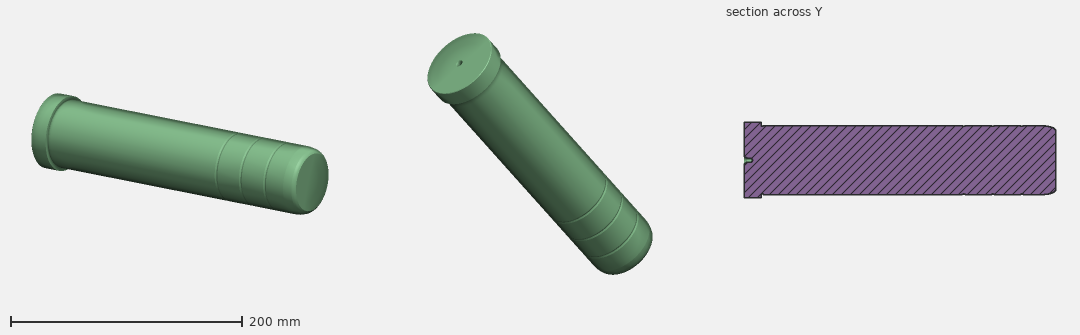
import cadquery as cq
import math

length = 270.0
head_diameter = 66.0
head_length = 15.0
head_chamfer = 0.5
body_diameter = 60.0

relief_width = 1.4
relief_depth = 0.5

groove_count = 3
first_groove_x = 190.0
groove_pitch = 25.0
groove_width = 3.0
groove_depth = 0.5

nose_length = 10.5
nose_drop = 1.5
tip_length = 3.0
tip_drop = 4.5

center_diameter = 6.5
pilot_diameter = 3.2
pilot_depth = 6.5
countersink_angle = 60.0
drill_tip_angle = 120.0

head_radius = head_diameter / 2
body_radius = body_diameter / 2


def nose_points():
    """Return the start, middle and end of the arc tangent to the body."""
    start_x = length - nose_length
    span = nose_length - tip_length
    arc_radius = (span**2 + nose_drop**2) / (2 * nose_drop)
    half_angle = math.atan2(nose_drop, span)
    middle = (
        start_x + arc_radius * math.sin(half_angle),
        body_radius - arc_radius * (1 - math.cos(half_angle)),
    )
    return (start_x, body_radius), middle, (start_x + span, body_radius - nose_drop)


def revolve_about_x(profile):
    return profile.close().revolve(360, (0, 0, 0), (1, 0, 0))


def make_pin():
    start, middle, end = nose_points()
    relief_radius = body_radius - relief_depth
    profile = (
        cq.Workplane("XY")
        .lineTo(0, head_radius - head_chamfer)
        .lineTo(head_chamfer, head_radius)
        .lineTo(head_length, head_radius)
        .lineTo(head_length, relief_radius)
        .lineTo(head_length + relief_width, relief_radius)
        .lineTo(head_length + relief_width, body_radius)
        .lineTo(*start)
        .threePointArc(middle, end)
        .tangentArcPoint((length, body_radius - tip_drop), relative=False)
        .lineTo(length, 0)
    )
    return revolve_about_x(profile)


def make_groove(center_x):
    """Return a V-shaped ring that cuts one groove."""
    rim_radius = head_radius
    half_width = groove_width / 2
    profile = (
        cq.Workplane("XY")
        .moveTo(center_x - half_width, rim_radius)
        .lineTo(center_x - half_width, body_radius)
        .lineTo(center_x, body_radius - groove_depth)
        .lineTo(center_x + half_width, body_radius)
        .lineTo(center_x + half_width, rim_radius)
    )
    return revolve_about_x(profile)


def make_center_hole():
    center_radius = center_diameter / 2
    pilot_radius = pilot_diameter / 2
    sink_depth = (center_radius - pilot_radius) / math.tan(math.radians(countersink_angle / 2))
    tip_depth = pilot_radius / math.tan(math.radians(drill_tip_angle / 2))
    profile = (
        cq.Workplane("XY")
        .lineTo(0, center_radius)
        .lineTo(sink_depth, pilot_radius)
        .lineTo(pilot_depth, pilot_radius)
        .lineTo(pilot_depth + tip_depth, 0)
    )
    return revolve_about_x(profile)


result = make_pin()
for index in range(groove_count):
    result = result.cut(make_groove(first_groove_x + index * groove_pitch))
result = result.cut(make_center_hole())